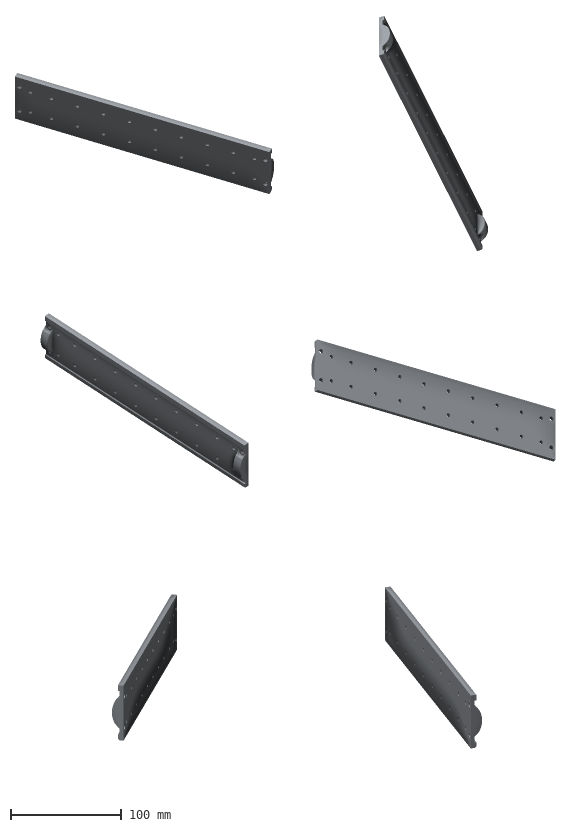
import cadquery as cq

length = 250.0
height = 52.5
thickness = 5.2
half_length = length / 2

rim_height = 5.5
recess_depth = 1.5
rim_chamfer = 1.5
floor = thickness - recess_depth

lug_back = 10.8
lug_length = 9.0
lug_fillet = 1.5
crown_half_width = 10.8
flank_top = 8.0
flank_foot_half_width = crown_half_width + flank_top - floor

corner_x = 120.8
corner_z = 15.0
corner_diameter = 4.5
head_diameter = 8.0

row_z = 12.5
row_pitch = 25.5
pitched_holes = 8
row_end_x = 110.0
row_diameter = 3.8


def rod(x, z, diameter, start_y, end_y):
    """Cylinder along Y between two Y positions."""
    start = cq.Vector(x, start_y, z)
    along_y = cq.Vector(0, 1, 0)
    return cq.Workplane(cq.Solid.makeCylinder(diameter / 2, end_y - start_y, start, along_y))


def make_plate():
    """Plate with a chamfered lower back edge and a full-length recess in its back."""
    plate = cq.Workplane().box(length, thickness, height).translate((0, thickness / 2, 0))
    plate = plate.edges("|X and >Y and <Z").chamfer(rim_chamfer)
    recess = cq.Workplane().box(length, recess_depth, height - 2 * rim_height)
    return plate.cut(recess.translate((0, thickness - recess_depth / 2, 0)))


def make_lug(side):
    """Arched lug at one end (side is -1 or 1), rounded along its inner edge."""
    inner_x = side * (half_length - lug_length)
    profile = (
        cq.Workplane("YZ", origin=(inner_x, 0, 0))
        .moveTo(floor, -flank_foot_half_width)
        .lineTo(flank_top, -crown_half_width)
        .threePointArc((lug_back, 0), (flank_top, crown_half_width))
        .lineTo(floor, flank_foot_half_width)
        .close()
    )
    inner_face = "<X" if side > 0 else ">X"
    return profile.extrude(side * lug_length).faces(inner_face).edges("not <Y").fillet(lug_fillet)


result = make_plate()
for side in (-1, 1):
    result = result.union(make_lug(side))

for x in (-corner_x, corner_x):
    for z in (-corner_z, corner_z):
        result = result.cut(rod(x, z, head_diameter, floor, lug_back))
        result = result.cut(rod(x, z, corner_diameter, 0, lug_back))

first_pitched_x = -(pitched_holes - 1) / 2 * row_pitch
row_positions = [first_pitched_x + i * row_pitch for i in range(pitched_holes)]
row_positions += [-row_end_x, row_end_x]
for x in row_positions:
    for z in (-row_z, row_z):
        result = result.cut(rod(x, z, row_diameter, 0, thickness))